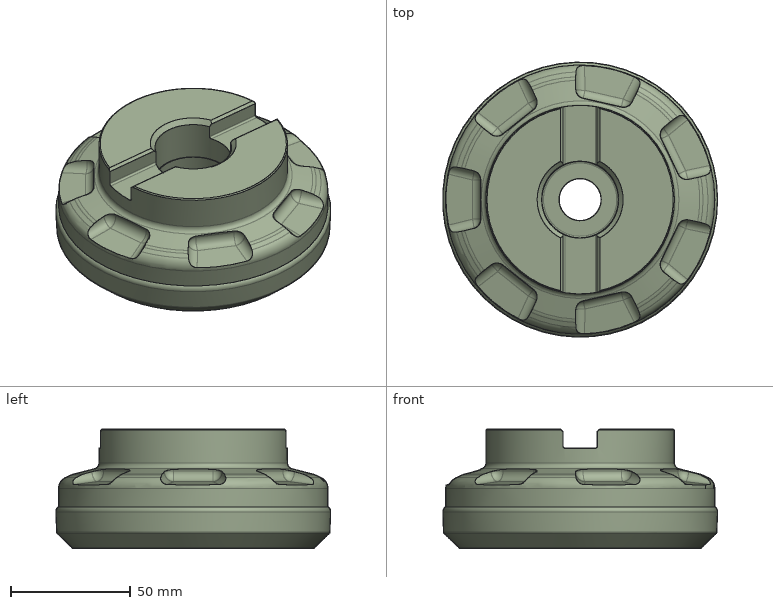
import cadquery as cq
import math

total_height = 49.95
split_height = 17.35
through_hole_diameter = 17.5

ring_radius = 57.615
ring_lower_radius = 57.25
ring_bottom_radius = 50.6
ring_chamfer_height = 6.45
ring_rounding_start = 15.25
ring_chamfer_blend = 1.0

holder_radius = 112.81 / 2
shoulder_start = 25.1
shoulder_rounding = 5.0
hub_radius = 79.0 / 2
hub_rim_chamfer = 0.5
hub_root_fillet = 2.5
inner_cone_angle = 14.4
outer_cone_angle = 25.0
cone_meeting_radius = 50.8
cone_blend_radius = 8.0

bore_diameter = 32.01
bore_chamfer = 2.0
bore_floor_height = 23.0
relief_diameter = 32.5
relief_top_height = 31.0
bore_floor_fillet = 0.9

slot_width = 14.3
slot_depth = 8.0
slot_chamfer = 1.1
slot_floor_fillet = 0.8

pocket_count = 7
first_pocket_angle = 180.0
pocket_tilt = 7.0
pocket_floor_radius = 45.1
pocket_floor_height = 27.9
pocket_floor_half_width = 8.2
pocket_flare_angle = 13.8
pocket_rounding = 4.0
pocket_length = 18.0
pocket_clearance = 10.0


def polar(center, radius, angle):
    """Point at an angle in degrees around a center."""
    return (
        center[0] + radius * math.cos(math.radians(angle)),
        center[1] + radius * math.sin(math.radians(angle)),
    )


def make_cutting_ring():
    """Turned disc with a wide bottom chamfer, a slight taper and a rounded top edge."""
    drop = ring_radius - holder_radius
    rise = split_height - ring_rounding_start
    rounding_radius = (drop**2 + rise**2) / (2 * drop)
    rounding_angle = math.degrees(math.asin(rise / rounding_radius))
    rounding_center = (ring_radius - rounding_radius, ring_rounding_start)
    rounding_middle = polar(rounding_center, rounding_radius, rounding_angle / 2)
    hole_radius = through_hole_diameter / 2
    ring = (
        cq.Workplane("XZ")
        .moveTo(hole_radius, 0)
        .lineTo(ring_bottom_radius, 0)
        .lineTo(ring_lower_radius, ring_chamfer_height)
        .lineTo(ring_radius, ring_rounding_start)
        .threePointArc(rounding_middle, (holder_radius, split_height))
        .lineTo(hole_radius, split_height)
        .close()
        .revolve(360, (0, 0, 0), (0, 1, 0))
    )
    chamfer_edge_box = cq.selectors.BoxSelector(
        (-ring_radius, -ring_radius, ring_chamfer_height / 2),
        (ring_radius, ring_radius, ring_rounding_start / 2),
        boundingbox=True,
    )
    return ring.edges(chamfer_edge_box).fillet(ring_chamfer_blend)


def make_holder_blank():
    """Turned holder: cylinder, rounded shoulder, two blended cones and the hub."""
    inner_slope = math.tan(math.radians(inner_cone_angle))
    shoulder_center = (holder_radius - shoulder_rounding, shoulder_start)
    shoulder_end_angle = 90 - outer_cone_angle
    shoulder_middle = polar(shoulder_center, shoulder_rounding, shoulder_end_angle / 2)
    shoulder_end = polar(shoulder_center, shoulder_rounding, shoulder_end_angle)

    outer_slope = math.tan(math.radians(outer_cone_angle))
    meeting_height = shoulder_end[1] + (shoulder_end[0] - cone_meeting_radius) * outer_slope
    meeting = (cone_meeting_radius, meeting_height)
    half_turn = (outer_cone_angle - inner_cone_angle) / 2
    blend_length = cone_blend_radius * math.tan(math.radians(half_turn))
    blend_start = polar(meeting, blend_length, -outer_cone_angle)
    blend_end = polar(meeting, blend_length, 180 - inner_cone_angle)
    blend_center = polar(blend_start, cone_blend_radius, 270 - outer_cone_angle)
    blend_middle = polar(blend_center, cone_blend_radius, 90 - inner_cone_angle - half_turn)

    root_end_angle = 270 - inner_cone_angle
    root_radius = hub_radius + hub_root_fillet
    root_end_radius = polar((root_radius, 0), hub_root_fillet, root_end_angle)[0]
    root_end_height = meeting_height + (cone_meeting_radius - root_end_radius) * inner_slope
    root_center_height = root_end_height + hub_root_fillet * math.cos(math.radians(inner_cone_angle))
    root_center = (root_radius, root_center_height)
    root_middle = polar(root_center, hub_root_fillet, (root_end_angle + 180) / 2)

    return (
        cq.Workplane("XZ")
        .moveTo(0, split_height)
        .lineTo(holder_radius, split_height)
        .lineTo(holder_radius, shoulder_start)
        .threePointArc(shoulder_middle, shoulder_end)
        .lineTo(*blend_start)
        .threePointArc(blend_middle, blend_end)
        .lineTo(root_end_radius, root_end_height)
        .threePointArc(root_middle, (hub_radius, root_center_height))
        .lineTo(hub_radius, total_height - hub_rim_chamfer)
        .lineTo(hub_radius - hub_rim_chamfer, total_height)
        .lineTo(0, total_height)
        .close()
        .revolve(360, (0, 0, 0), (0, 1, 0))
    )


def make_bore_cutter():
    """Turned cutter: bolt hole, filleted relief, arbor bore and its chamfered mouth."""
    hole_radius = through_hole_diameter / 2
    relief_radius = relief_diameter / 2
    bore_radius = bore_diameter / 2
    fillet_center = (relief_radius - bore_floor_fillet, bore_floor_height + bore_floor_fillet)
    return (
        cq.Workplane("XZ")
        .moveTo(0, split_height)
        .lineTo(hole_radius, split_height)
        .lineTo(hole_radius, bore_floor_height)
        .lineTo(fillet_center[0], bore_floor_height)
        .threePointArc(polar(fillet_center, bore_floor_fillet, -45), (relief_radius, fillet_center[1]))
        .lineTo(relief_radius, relief_top_height)
        .lineTo(bore_radius, relief_top_height)
        .lineTo(bore_radius, total_height - bore_chamfer)
        .lineTo(bore_radius + bore_chamfer, total_height)
        .lineTo(0, total_height)
        .close()
        .revolve(360, (0, 0, 0), (0, 1, 0))
    )


def make_slot_cutter():
    """Driving slot along Y with a filleted floor and chamfered top edges."""
    half_width = slot_width / 2
    floor_height = total_height - slot_depth
    half_profile = [
        (half_width, floor_height),
        (half_width, total_height - slot_chamfer),
        (half_width + slot_chamfer, total_height),
    ]
    mirrored = [(-x, z) for x, z in reversed(half_profile)]
    return (
        cq.Workplane("XZ")
        .polyline(half_profile + mirrored)
        .close()
        .extrude(hub_radius + hub_root_fillet, both=True)
        .faces("<Z")
        .edges("|Y")
        .fillet(slot_floor_fillet)
    )


def make_pocket_cutter():
    """Ball-rounded trapezoid on a floor that falls outward, pointing along +X."""
    flare = math.radians(pocket_flare_angle)
    inner_x = -pocket_rounding
    floor_edge_half_width = pocket_floor_half_width + pocket_rounding / math.cos(flare)
    inner_half_width = floor_edge_half_width + inner_x * math.tan(flare)
    outer_half_width = floor_edge_half_width + pocket_length * math.tan(flare)
    return (
        cq.Workplane("XY")
        .polyline([
            (inner_x, -inner_half_width),
            (pocket_length, -outer_half_width),
            (pocket_length, outer_half_width),
            (inner_x, inner_half_width),
        ])
        .close()
        .extrude(pocket_clearance)
        .edges("(|Z and <X) or (<Z and (not >X))")
        .fillet(pocket_rounding)
        .rotate((0, 0, 0), (0, 1, 0), pocket_tilt)
        .translate((pocket_floor_radius, 0, pocket_floor_height))
    )


def make_holder():
    """Holder with its bore, driving slot and ring of chip pockets."""
    holder = make_holder_blank().cut(make_bore_cutter()).cut(make_slot_cutter())
    pocket = make_pocket_cutter()
    for index in range(pocket_count):
        angle = first_pocket_angle + index * 360 / pocket_count
        holder = holder.cut(pocket.rotate((0, 0, 0), (0, 0, 1), angle))
    return holder


cutting_ring = make_cutting_ring()
holder = make_holder()

result = cq.Compound.makeCompound([cutting_ring.val(), holder.val()])